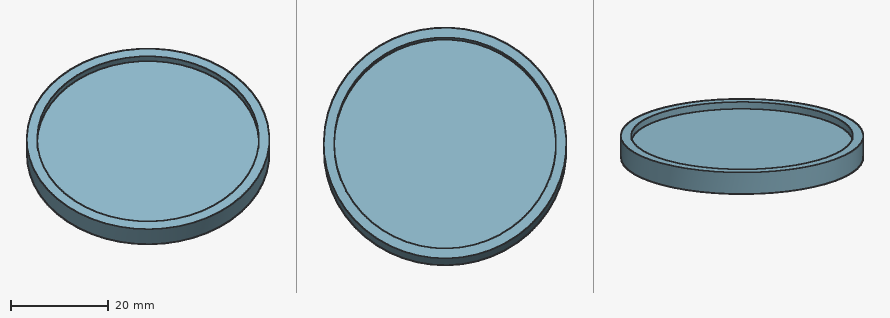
import cadquery as cq

outer_diameter = 50.0
recess_diameter = 45.7
total_height = 4.7
recess_depth = 1.5


def make_disc():
    """Plain round disc standing on the XY plane."""
    return cq.Workplane("XY").circle(outer_diameter / 2).extrude(total_height)


def cut_recess(body):
    """Shallow round recess in the top face, leaving a raised rim."""
    return body.faces(">Z").workplane().circle(recess_diameter / 2).cutBlind(-recess_depth)


result = cut_recess(make_disc())